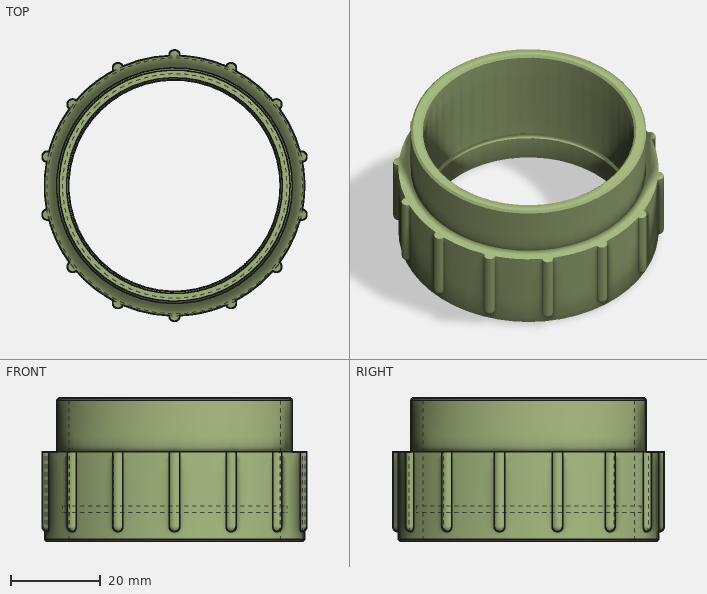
import cadquery as cq

total_height = 32.0
collar_height = 19.95
collar_diameter = 58.0
neck_diameter = 52.5
bore_diameter = 47.1
edge_chamfer = 0.5

groove_diameter = 50.0
groove_floor = 6.5
groove_width = 1.45

rib_count = 14
rib_tip_diameter = 60.5
rib_radius = 1.2
rib_ball_center_height = 3.4
rib_center_radius = rib_tip_diameter / 2 - rib_radius
first_rib_angle = 90.0


def cylinder(diameter, bottom, height):
    return cq.Workplane("XY").workplane(offset=bottom).circle(diameter / 2).extrude(height)


def make_outer_body():
    """Grip collar with a narrower neck on top, chamfered at both ends."""
    collar = cylinder(collar_diameter, 0, collar_height).faces("<Z").chamfer(edge_chamfer)
    neck = cylinder(neck_diameter, 0, total_height).faces(">Z").chamfer(edge_chamfer)
    return collar.union(neck)


def make_bore():
    """Through bore flared at both ends, with the seal groove around it."""
    bore_radius = bore_diameter / 2
    flare_radius = bore_radius + edge_chamfer
    profile = (
        cq.Workplane("XZ")
        .lineTo(flare_radius, 0)
        .lineTo(bore_radius, edge_chamfer)
        .lineTo(bore_radius, total_height - edge_chamfer)
        .lineTo(flare_radius, total_height)
        .lineTo(0, total_height)
        .close()
    )
    bore = profile.revolve(360, (0, 0, 0), (0, 1, 0))
    return bore.union(cylinder(groove_diameter, groove_floor, groove_width))


def make_ribs():
    """Ball-ended ribs spaced evenly around the collar, flush with its top face."""
    rib_length = collar_height - rib_ball_center_height
    places = cq.Workplane("XY").workplane(offset=rib_ball_center_height).polarArray(
        rib_center_radius, first_rib_angle, 360, rib_count
    )
    bars = places.circle(rib_radius).extrude(rib_length)
    balls = places.sphere(rib_radius)
    return bars.union(balls)


result = make_outer_body().union(make_ribs()).cut(make_bore())